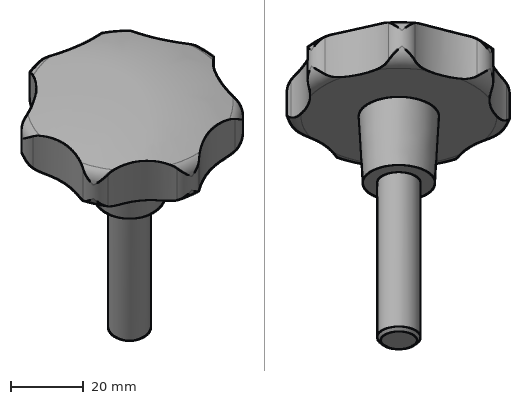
import cadquery as cq
import math


LOBE_COUNT = 7
HEAD_RADIUS = 31.5
LOBE_RADIUS = 4.5
SCALLOP_RADIUS = 20.5
RIM_FILLET = 4.5
HEAD_HEIGHT = 19.0
DOME_RADIUS = 80.0
FIRST_LOBE_ANGLE = -90.0

HUB_HEIGHT = 21.0
HUB_BOTTOM_DIAMETER = 20.0
HUB_DRAFT_ANGLE = 3.0
SHANK_LENGTH = 50.0
SHANK_DIAMETER = 12.0
SHANK_CHAMFER = 1.0

HEAD_TOP = HUB_HEIGHT + HEAD_HEIGHT
LOBE_CENTRE_RADIUS = HEAD_RADIUS - LOBE_RADIUS
HUB_TOP_RADIUS = HUB_BOTTOM_DIAMETER / 2 + HUB_HEIGHT * math.tan(math.radians(HUB_DRAFT_ANGLE))
LOBE_PITCH = 360.0 / LOBE_COUNT


def polar(radius, angle):
    """Point at a radius and an angle in degrees."""
    return (radius * math.cos(math.radians(angle)), radius * math.sin(math.radians(angle)))


def point_between(start, end, distance):
    """Point at a distance from start, on the line towards end."""
    share = distance / math.dist(start, end)
    return (start[0] + share * (end[0] - start[0]), start[1] + share * (end[1] - start[1]))


def scallop_centre_radius():
    """Distance from the knob axis at which a scallop arc is tangent to both lobes beside it."""
    half_pitch = math.radians(LOBE_PITCH / 2)
    along = LOBE_CENTRE_RADIUS * math.cos(half_pitch)
    across = LOBE_CENTRE_RADIUS * math.sin(half_pitch)
    return along + math.sqrt((LOBE_RADIUS + SCALLOP_RADIUS) ** 2 - across**2)


def star_prism():
    """Upright prism with rounded lobes joined by tangent scallops."""
    scallop_distance = scallop_centre_radius()
    valley_radius = scallop_distance - SCALLOP_RADIUS

    def tangent_point(lobe_angle, side):
        lobe = polar(LOBE_CENTRE_RADIUS, lobe_angle)
        scallop = polar(scallop_distance, lobe_angle + side * LOBE_PITCH / 2)
        return point_between(lobe, scallop, LOBE_RADIUS)

    outline = cq.Workplane("XY").workplane(offset=HUB_HEIGHT).moveTo(*tangent_point(FIRST_LOBE_ANGLE, -1))
    for index in range(LOBE_COUNT):
        angle = FIRST_LOBE_ANGLE + index * LOBE_PITCH
        tip = polar(HEAD_RADIUS, angle)
        valley = polar(valley_radius, angle + LOBE_PITCH / 2)
        outline = outline.threePointArc(tip, tangent_point(angle, 1))
        outline = outline.threePointArc(valley, tangent_point(angle + LOBE_PITCH, -1))
    return outline.close().extrude(HEAD_HEIGHT)


def domed_disc():
    """Round blank: flat underside, rounded rim and a spherical crown tangent to the rim."""
    rim_centre = HEAD_RADIUS - RIM_FILLET
    dome_centre_z = HEAD_TOP - DOME_RADIUS
    rim_angle = math.asin(rim_centre / (DOME_RADIUS - RIM_FILLET))
    upper_rim_z = dome_centre_z + (DOME_RADIUS - RIM_FILLET) * math.cos(rim_angle)
    lower_rim_z = HUB_HEIGHT + RIM_FILLET

    def dome_point(angle):
        return (DOME_RADIUS * math.sin(angle), dome_centre_z + DOME_RADIUS * math.cos(angle))

    def rim_point(centre_z, angle):
        return (rim_centre + RIM_FILLET * math.cos(angle), centre_z + RIM_FILLET * math.sin(angle))

    upper_rim_middle = (math.pi / 2 - rim_angle) / 2
    profile = (
        cq.Workplane("XZ")
        .moveTo(0, HUB_HEIGHT)
        .lineTo(rim_centre, HUB_HEIGHT)
        .threePointArc(rim_point(lower_rim_z, -math.pi / 4), rim_point(lower_rim_z, 0))
        .lineTo(HEAD_RADIUS, upper_rim_z)
        .threePointArc(rim_point(upper_rim_z, upper_rim_middle), dome_point(rim_angle))
        .threePointArc(dome_point(rim_angle / 2), (0, HEAD_TOP))
        .close()
    )
    return profile.revolve(360, (0, 0, 0), (0, 1, 0))


def hub():
    """Cone that widens towards the head."""
    profile = (
        cq.Workplane("XZ")
        .lineTo(HUB_BOTTOM_DIAMETER / 2, 0)
        .lineTo(HUB_TOP_RADIUS, HUB_HEIGHT)
        .lineTo(0, HUB_HEIGHT)
        .close()
    )
    return profile.revolve(360, (0, 0, 0), (0, 1, 0))


def shank():
    """Round pin below the hub with a chamfered end."""
    pin = cq.Workplane("XY").circle(SHANK_DIAMETER / 2).extrude(-SHANK_LENGTH)
    return pin.faces("<Z").chamfer(SHANK_CHAMFER)


head = star_prism().intersect(domed_disc())
result = head.union(hub()).union(shank())